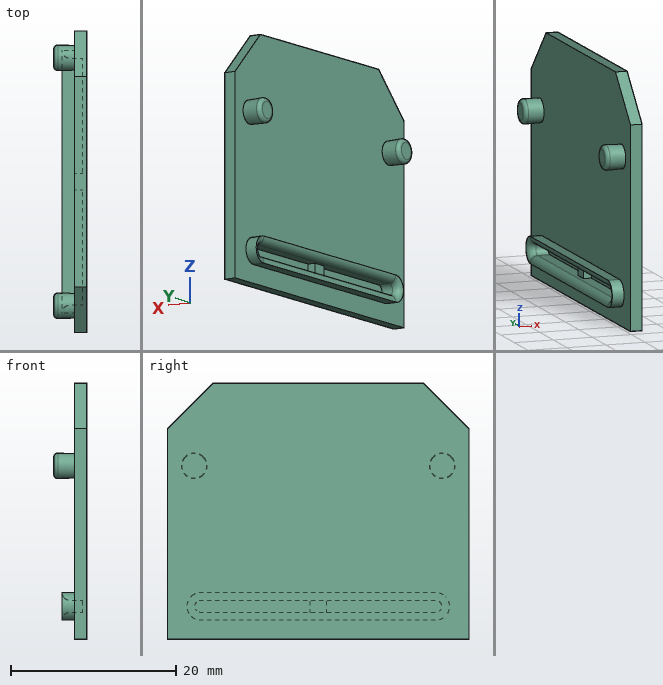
import cadquery as cq

plate_thickness = 1.5
plate_width = 36.5
plate_height = 31.0
corner_chamfer = 5.5

pin_length = 2.5
pin_root_radius = 1.5
pin_head_radius = 1.55
pin_edge_fillet = 0.5
pin_spacing = 30.0
pin_z = 21.0

rim_height = 1.5
rim_outer_radius = 1.68
rim_inner_radius = 0.73
rim_end_spacing = 28.4
rim_z = 4.0
rim_edge_radius = rim_outer_radius - rim_inner_radius
rim_straight_depth = rim_height - rim_edge_radius

pocket_depth = 1.0
web_width = 2.0


def make_plate():
    """Rectangular plate standing on z = 0 with its two upper corners cut off."""
    blank = cq.Workplane("XY").box(
        plate_thickness, plate_width, plate_height, centered=(False, True, False)
    )
    return blank.edges("|X and >Z").chamfer(corner_chamfer)


def make_pin(y):
    """Tapered pin pointing to -X, revolved about its own axis."""
    shoulder_x = -(pin_length - pin_edge_fillet)
    tip_radius = pin_head_radius - pin_edge_fillet
    profile = (
        cq.Workplane("XY")
        .moveTo(0, 0)
        .lineTo(0, pin_root_radius)
        .lineTo(shoulder_x, pin_head_radius)
        .radiusArc((-pin_length, tip_radius), -pin_edge_fillet)
        .lineTo(-pin_length, 0)
        .close()
    )
    return profile.revolve(360, (0, 0, 0), (1, 0, 0)).translate((0, y, pin_z))


def rim_section():
    """Closed section of the rim wall: flat outside, rounded inside out to the outer edge."""
    return (
        cq.Workplane("XZ")
        .moveTo(0, rim_inner_radius)
        .lineTo(0, rim_outer_radius)
        .lineTo(-rim_height, rim_outer_radius)
        .radiusArc((-rim_straight_depth, rim_inner_radius), -rim_edge_radius)
        .close()
    )


def make_rim():
    """Two straight walls along Y joined by a half ring at each end."""
    half_spacing = rim_end_spacing / 2
    upper_wall = rim_section().extrude(half_spacing, both=True)
    lower_wall = upper_wall.mirror("XY")
    rim = upper_wall.union(lower_wall)
    for side in (-1, 1):
        half_ring = rim_section().revolve(180, (0, 0, 0), (side, 0, 0))
        rim = rim.union(half_ring.translate((0, -side * half_spacing, 0)))
    return rim.translate((0, 0, rim_z))


def make_pocket():
    """Round-ended pocket along Y, split in two by a web that is flush with the plate face."""
    pocket = (
        cq.Workplane("YZ")
        .center(0, rim_z)
        .slot2D(rim_end_spacing + 2 * rim_inner_radius, 2 * rim_inner_radius)
        .extrude(pocket_depth)
    )
    web = (
        cq.Workplane("YZ")
        .center(0, rim_z)
        .rect(web_width, 2 * rim_outer_radius)
        .extrude(pocket_depth)
    )
    return pocket.cut(web)


result = make_plate().cut(make_pocket()).union(make_rim())
for side in (-1, 1):
    result = result.union(make_pin(side * pin_spacing / 2))